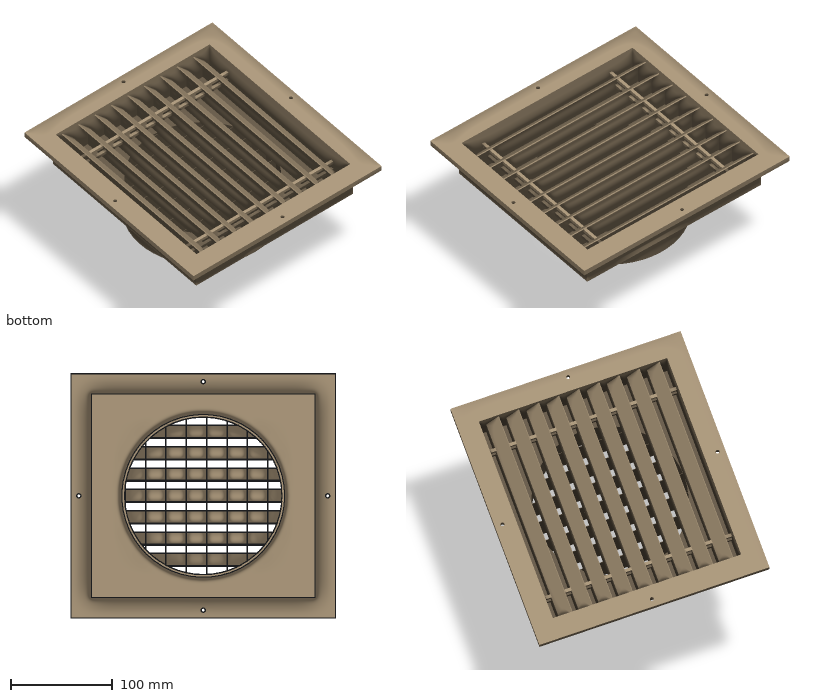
import cadquery as cq
import math

FLANGE_X = 260.0
FLANGE_Y = 240.0
TOTAL_HEIGHT = 81.0
FLANGE_THICKNESS = 6.0

BOX_X = 220.0
BOX_Y = 200.0
BOX_DEPTH = 35.0
BOX_WALL = 1.8
CAVITY_X = BOX_X - 2 * BOX_WALL
CAVITY_Y = BOX_Y - 2 * BOX_WALL
COLLAR_LENGTH = TOTAL_HEIGHT - FLANGE_THICKNESS - BOX_DEPTH
FLOOR_TOP = COLLAR_LENGTH + BOX_WALL

COLLAR_DIAMETER = 160.0
BORE_DIAMETER = 154.5
BORE_RADIUS = BORE_DIAMETER / 2

HOLE_DIAMETER = 4.0
HOLE_INSET = 7.8

SHEET = 1.0
BLADE_COUNT = 9
BLADE_DEPTH = 13.3
BLADE_GAP = (CAVITY_Y - BLADE_COUNT * BLADE_DEPTH) / (BLADE_COUNT + 1)
BLADE_PITCH = BLADE_DEPTH + BLADE_GAP
BLADE_BEND_Z = TOTAL_HEIGHT - 16.6

ROD_SIZE = 3.5
ROD_X = 80.5
UPPER_ROD_Z = TOTAL_HEIGHT - 18.0
LOWER_ROD_Z = TOTAL_HEIGHT - 28.0

FIN_COUNT = 8
FIRST_FIN_X = -76.7
FIN_PITCH = 20.0
FIN_THICKNESS = 0.5

OVERLAP = 1.0


def make_housing():
    """Flange, box and collar, hollowed through from front to back."""
    box_height = BOX_DEPTH + FLANGE_THICKNESS
    collar = cq.Workplane("XY").circle(COLLAR_DIAMETER / 2).extrude(COLLAR_LENGTH)
    box = cq.Workplane("XY").workplane(offset=COLLAR_LENGTH).rect(BOX_X, BOX_Y).extrude(box_height)
    flange = (
        cq.Workplane("XY")
        .workplane(offset=TOTAL_HEIGHT - FLANGE_THICKNESS)
        .rect(FLANGE_X, FLANGE_Y)
        .extrude(FLANGE_THICKNESS)
    )
    cavity = (
        cq.Workplane("XY")
        .workplane(offset=FLOOR_TOP)
        .rect(CAVITY_X, CAVITY_Y)
        .extrude(TOTAL_HEIGHT - FLOOR_TOP)
    )
    bore = cq.Workplane("XY").circle(BORE_RADIUS).extrude(TOTAL_HEIGHT)
    return collar.union(box).union(flange).cut(cavity).cut(bore)


def make_fixing_holes():
    hole_x = FLANGE_X / 2 - HOLE_INSET
    hole_y = FLANGE_Y / 2 - HOLE_INSET
    centres = [(hole_x, 0), (-hole_x, 0), (0, hole_y), (0, -hole_y)]
    return cq.Workplane("XY").pushPoints(centres).circle(HOLE_DIAMETER / 2).extrude(TOTAL_HEIGHT)


def make_blade(back_y):
    """One blade whose web has its +Y face at back_y and whose slope rises toward -Y."""
    web_front_y = back_y - SHEET
    front_y = back_y - BLADE_DEPTH
    edge_step = SHEET * math.sin(math.radians(45))
    front_corner_z = BLADE_BEND_Z + BLADE_DEPTH
    lip_y = front_y + edge_step
    under_drop = 2 * edge_step
    profile = [
        (back_y, COLLAR_LENGTH),
        (back_y, BLADE_BEND_Z),
        (lip_y, front_corner_z - edge_step),
        (front_y, front_corner_z - under_drop),
        (web_front_y, BLADE_BEND_Z + SHEET - under_drop),
        (web_front_y, COLLAR_LENGTH),
    ]
    blade_length = CAVITY_X + 2 * OVERLAP
    return cq.Workplane("YZ").polyline(profile).close().extrude(blade_length / 2, both=True)


def make_rod(x, z):
    rod_length = CAVITY_Y + 2 * OVERLAP
    return (
        cq.Workplane("XZ")
        .center(x, z)
        .rect(ROD_SIZE, ROD_SIZE)
        .extrude(rod_length / 2, both=True)
    )


def make_fins():
    """Thin sheets parallel to Y, trimmed to the round collar."""
    fins = cq.Workplane("XY")
    for index in range(FIN_COUNT):
        fin_x = FIRST_FIN_X + index * FIN_PITCH
        outline = cq.Workplane("XY").center(fin_x, 0).rect(FIN_THICKNESS, COLLAR_DIAMETER)
        fin = outline.extrude(COLLAR_LENGTH)
        fins = fins.add(fin)
    trim = cq.Workplane("XY").circle(BORE_RADIUS + OVERLAP).extrude(COLLAR_LENGTH)
    return fins.combine().intersect(trim)


result = make_housing().cut(make_fixing_holes())

for index in range(BLADE_COUNT):
    blade_back_y = CAVITY_Y / 2 - BLADE_GAP - index * BLADE_PITCH
    result = result.union(make_blade(blade_back_y))

for rod_x in (-ROD_X, ROD_X):
    for rod_z in (UPPER_ROD_Z, LOWER_ROD_Z):
        result = result.union(make_rod(rod_x, rod_z))

result = result.union(make_fins())